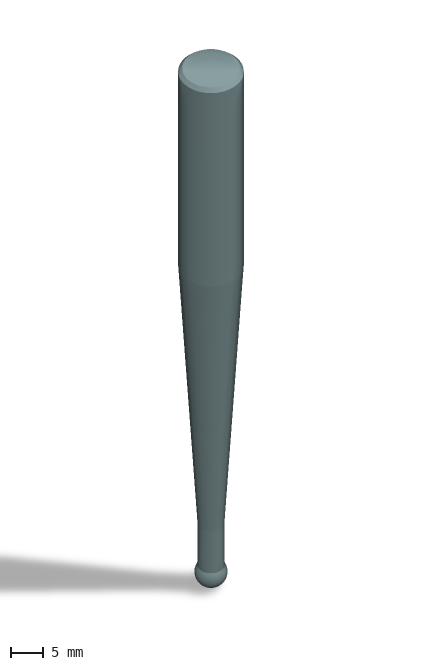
import cadquery as cq
import math

overall_length = 105.0
shank_diameter = 10.0
shank_length = 40.0
end_chamfer = 0.6
neck_diameter = 4.1
neck_start_height = 12.5
ball_diameter = 5.0
collar_length = 0.3

shank_radius = shank_diameter / 2
neck_radius = neck_diameter / 2
ball_radius = ball_diameter / 2
top_z = overall_length / 2
bottom_z = -overall_length / 2
taper_top_z = top_z - shank_length
taper_foot_z = bottom_z + neck_start_height
ball_center_z = bottom_z + ball_radius
ball_top_z = ball_center_z + math.sqrt(ball_radius**2 - neck_radius**2)
joint_z = ball_top_z + collar_length


def make_shank():
    """Chamfered cylinder, long taper and straight neck, ending at the flat joint."""
    return (
        cq.Workplane("XZ")
        .moveTo(0, top_z)
        .lineTo(shank_radius - end_chamfer, top_z)
        .lineTo(shank_radius, top_z - end_chamfer)
        .lineTo(shank_radius, taper_top_z)
        .lineTo(neck_radius, taper_foot_z)
        .lineTo(neck_radius, joint_z)
        .lineTo(0, joint_z)
        .close()
        .revolve(360, (0, 0), (0, 1))
    )


def make_ball_tip():
    """Ball with a short collar of the neck's diameter, seated flat on the joint."""
    return (
        cq.Workplane("XZ")
        .moveTo(0, joint_z)
        .lineTo(neck_radius, joint_z)
        .lineTo(neck_radius, ball_top_z)
        .threePointArc((ball_radius, ball_center_z), (0, bottom_z))
        .close()
        .revolve(360, (0, 0), (0, 1))
    )


shank = make_shank()
ball_tip = make_ball_tip()
result = cq.Compound.makeCompound([shank.val(), ball_tip.val()])